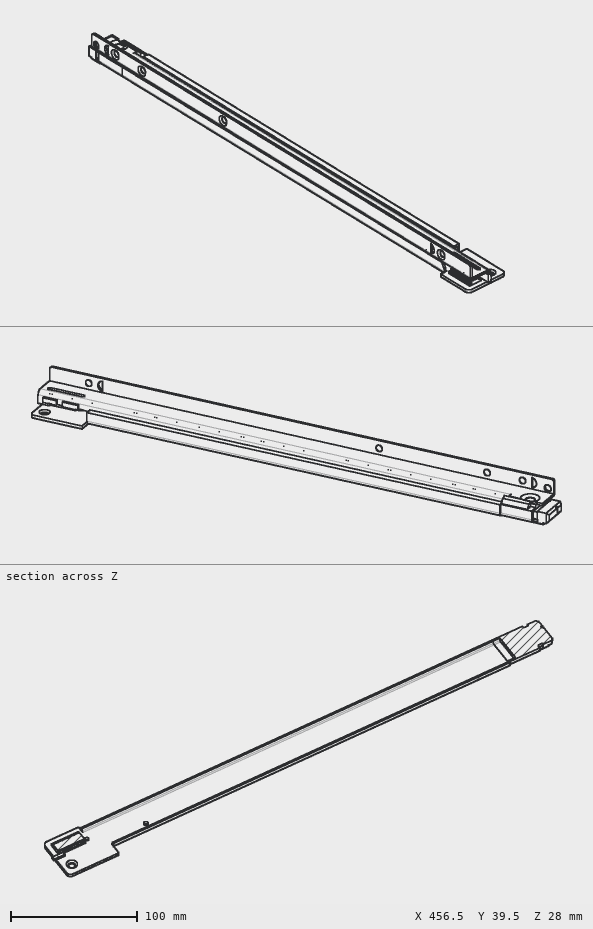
import cadquery as cq

TOTAL_LENGTH = 456.5
TOTAL_HEIGHT = 28.0
TOTAL_WIDTH = 39.5

RAIL_FRONT = 41.5
RAIL_REAR = 407.8
RAIL_NEAR_Y = 3.5
RAIL_FAR_Y = 31.5
RAIL_HEIGHT = 11.0
RAIL_SHEET = 2.0
RAIL_FLOOR = 2.7
RAIL_LIP = 5.5
RAIL_BEND = 3.5
SIGHT_HOLE_X = 373.5
SIGHT_HOLE_Y = 24.0
SIGHT_HOLE_DIAMETER = 3.5

NEAR_WALL_REAR = 421.0
NEAR_WALL_SLOPE = 2.7

FOOT_REAR = 454.0
FOOT_CORNER = 3.5
FOOT_HOLE_X = 445.5
FOOT_HOLE_Y = 30.5
FOOT_SLIT_X = 422.0

RIB_FRONT = 424.5
RIB_REAR = 449.5
RIB_NEAR_Y = 5.5
RIB_FAR_Y = 17.5
RIB_STEP = 2.0

PROFILE_YAW = 0.15
WALL_FRONT = 8.0
WALL_REAR = 456.0
WALL_SHEET = 2.0
WALL_CORNER = 2.5
FLANGE_TOP = 15.5
WALL_BEND = 2.7
FLANGE_FAR_Y = 21.5
LIP_FRONT = 38.0
LIP_BOTTOM = 7.0
LIP_BEND = 3.5
TONGUE_FRONT = 446.0
TONGUE_SHEET = 3.0
TONGUE_BOTTOM = 4.0
TONGUE_TOP = 11.5
NUB_SPANS = ((420.0, 434.0), (439.5, 451.0))
NUB_DEPTH = 2.0
NUB_HEIGHT = 4.0

SCREW_XS = (36.0, 67.5, 163.5, 421.5)
SCREW_Z = 21.0
SCREW_DIAMETER = 5.5
SCREW_HEAD = 8.5
SCREW_HEAD_DEPTH = 1.5
LOCATING_X = 13.5
LOCATING_Z = 19.0
LOCATING_DIAMETER = 6.0
HALF_ROUND_FRONT_X = 28.0
HALF_ROUND_REAR_X = 409.0
HALF_ROUND_WIDTH = 4.0
HALF_ROUND_HEIGHT = 8.5

RIVET_X = 21.5
RIVET_Y = 17.0
RIVET_HEAD = 15.0
RIVET_DIAMETER = 7.8
RIVET_HEAD_DEPTH = 1.5
SLOT_FRONT = 418.7
SLOT_REAR = 451.0
SLOT_Y = 14.0
SLOT_WIDTH = 3.0

BUMPER_LENGTH = 9.5
BUMPER_NEAR_Y = 4.0
BUMPER_FAR_Y = 28.8
BUMPER_BOTTOM = 2.0
TOE_CHAMFER = 1.0
BUMPER_NOTCH_Y = 12.0
BUMPER_NOTCH = 1.5
NECK_INSET = 1.5
BUMPER_CHAMFER = 2.0
TOE_FRONT = 4.5
SLEEVE_FRONT = 13.5
SLEEVE_FAR_Y = 30.5
CORE_REAR = 35.5
PAD_NEAR_Y = 9.5
RAMP_FRONT = 18.3
RAMP_NEAR_Y = 23.5
RAMP_CREST_Y = 26.0
RAMP_CREST_Z = 14.0
RAMP_FAR_Y = 29.0


def box_between(x0, x1, y0, y1, z0, z1):
    return cq.Workplane("XY").box(x1 - x0, y1 - y0, z1 - z0, centered=False).translate((x0, y0, z0))


def extrude_along_x(sketch, x0, x1):
    """Extrude a YZ outline from x0 to x1."""
    return sketch.extrude(x1 - x0).translate((x0, 0, 0))


def channel(x0, x1, far_y):
    """C-shaped channel with rounded lower edges and inward lips."""
    outer = box_between(x0, x1, RAIL_NEAR_Y, far_y, 0, RAIL_HEIGHT).edges("|X and <Z").fillet(RAIL_BEND)
    inner_top = RAIL_HEIGHT - RAIL_SHEET
    inside = box_between(x0, x1, RAIL_NEAR_Y + RAIL_SHEET, far_y - RAIL_SHEET, RAIL_FLOOR, inner_top)
    inside = inside.edges("|X and <Z").fillet(RAIL_BEND - RAIL_FLOOR)
    opening = box_between(x0, x1, RAIL_NEAR_Y + RAIL_LIP, far_y - RAIL_LIP, inner_top, RAIL_HEIGHT)
    return outer.cut(inside).cut(opening)


def countersunk_drill(diameter, head, head_depth, depth):
    """Drill shape that enters at the origin and goes down along -Z."""
    radius = diameter / 2
    outline = [(0, 0), (head / 2, 0), (radius, -head_depth), (radius, -depth), (0, -depth)]
    return cq.Workplane("XZ").polyline(outline).close().revolve(360, (0, 0), (0, 1))


def make_foot_plate():
    """Plate wider than the rail on both sides; its near part starts further back."""
    foot = box_between(RAIL_REAR, FOOT_REAR, 0, TOTAL_WIDTH, 0, RAIL_FLOOR)
    near_step = box_between(RAIL_REAR, NEAR_WALL_REAR, 0, RAIL_NEAR_Y + RAIL_BEND, 0, RAIL_FLOOR)
    foot = foot.cut(near_step)
    foot = foot.edges("|Z and >X").fillet(FOOT_CORNER)
    hole = countersunk_drill(SCREW_DIAMETER, SCREW_HEAD, SCREW_HEAD_DEPTH, RAIL_FLOOR)
    foot = foot.cut(hole.translate((FOOT_HOLE_X, FOOT_HOLE_Y, RAIL_FLOOR)))
    slit = cq.Workplane("XY").center(FOOT_SLIT_X, SLOT_Y).circle(SLOT_WIDTH / 2).extrude(RAIL_FLOOR)
    return foot.cut(slit)


def make_rib():
    """Two stacked steps, the upper one set back on both sides."""
    step_z = RAIL_FLOOR + RIB_STEP
    lower = box_between(RIB_FRONT, RIB_REAR, RIB_NEAR_Y, RIB_FAR_Y, RAIL_FLOOR, step_z)
    upper = box_between(
        RIB_FRONT, RIB_REAR, RIB_NEAR_Y + RIB_STEP, RIB_FAR_Y - RIB_STEP, step_z, step_z + RIB_STEP
    )
    return lower.union(upper)


def make_near_wall_end():
    """Near side of the channel running on past the far side, its rear end sloping at the top."""
    channel_end = channel(RAIL_REAR, NEAR_WALL_REAR, RAIL_FAR_Y)
    near_lip_y = RAIL_NEAR_Y + RAIL_LIP
    near_side = box_between(RAIL_REAR, NEAR_WALL_REAR, RAIL_NEAR_Y, near_lip_y, 0, RAIL_HEIGHT)
    slope = (
        cq.Workplane("XZ")
        .moveTo(NEAR_WALL_REAR, RAIL_HEIGHT / 2)
        .lineTo(NEAR_WALL_REAR - NEAR_WALL_SLOPE, RAIL_HEIGHT)
        .lineTo(NEAR_WALL_REAR, RAIL_HEIGHT)
        .close()
        .extrude(-near_lip_y)
    )
    return channel_end.intersect(near_side).cut(slope)


def make_rail():
    rail = channel(RAIL_FRONT, RAIL_REAR, RAIL_FAR_Y)
    rail = rail.union(make_foot_plate()).union(make_near_wall_end()).union(make_rib())
    sight_hole = cq.Workplane("XY").center(SIGHT_HOLE_X, SIGHT_HOLE_Y).circle(SIGHT_HOLE_DIAMETER / 2)
    return rail.cut(sight_hole.extrude(RAIL_FLOOR))


def half_round_hole(flat_x, direction):
    """Opening with a flat side at flat_x and a bulge towards `direction` along X."""
    half_height = HALF_ROUND_HEIGHT / 2
    outline = (
        cq.Workplane("XZ")
        .moveTo(flat_x, SCREW_Z - half_height)
        .threePointArc(
            (flat_x + direction * HALF_ROUND_WIDTH, SCREW_Z), (flat_x, SCREW_Z + half_height)
        )
        .close()
    )
    return outline.extrude(-WALL_SHEET)


def cut_wall_holes(profile):
    screw = countersunk_drill(SCREW_DIAMETER, SCREW_HEAD, SCREW_HEAD_DEPTH, WALL_SHEET)
    screw = screw.rotate((0, 0, 0), (1, 0, 0), 90)
    for x in SCREW_XS:
        profile = profile.cut(screw.translate((x, 0, SCREW_Z)))
    locating = cq.Workplane("XZ").center(LOCATING_X, LOCATING_Z).circle(LOCATING_DIAMETER / 2)
    profile = profile.cut(locating.extrude(-WALL_SHEET))
    profile = profile.cut(half_round_hole(HALF_ROUND_FRONT_X, -1))
    return profile.cut(half_round_hole(HALF_ROUND_REAR_X, 1))


def cut_flange_openings(profile):
    rivet = countersunk_drill(RIVET_DIAMETER, RIVET_HEAD, RIVET_HEAD_DEPTH, WALL_SHEET)
    profile = profile.cut(rivet.translate((RIVET_X, RIVET_Y, FLANGE_TOP)))
    slot = (
        cq.Workplane("XY", origin=(0, 0, FLANGE_TOP - WALL_SHEET))
        .center((SLOT_FRONT + SLOT_REAR) / 2, SLOT_Y)
        .slot2D(SLOT_REAR - SLOT_FRONT, SLOT_WIDTH)
        .extrude(WALL_SHEET)
    )
    return profile.cut(slot)


def make_screw_wall():
    """Vertical wall with a rounded bend into the horizontal flange."""
    flange_bottom = FLANGE_TOP - WALL_SHEET
    angle = (
        cq.Workplane("YZ")
        .moveTo(0, TOTAL_HEIGHT)
        .lineTo(0, flange_bottom + WALL_BEND)
        .radiusArc((WALL_BEND, flange_bottom), -WALL_BEND)
        .lineTo(FLANGE_FAR_Y, flange_bottom)
        .lineTo(FLANGE_FAR_Y, FLANGE_TOP)
        .lineTo(WALL_SHEET, FLANGE_TOP)
        .lineTo(WALL_SHEET, TOTAL_HEIGHT)
        .close()
    )
    return extrude_along_x(angle, WALL_FRONT, WALL_REAR).edges("|Y and >Z").fillet(WALL_CORNER)


def make_profile():
    lip_near_y = FLANGE_FAR_Y - WALL_SHEET
    lip = box_between(LIP_FRONT, WALL_REAR, lip_near_y, FLANGE_FAR_Y, LIP_BOTTOM, FLANGE_TOP)
    profile = make_screw_wall().union(lip)
    bend_start_y = FLANGE_FAR_Y - LIP_BEND
    bend_bottom = FLANGE_TOP - LIP_BEND
    bend_corner = (
        cq.Workplane("YZ")
        .moveTo(bend_start_y, FLANGE_TOP)
        .radiusArc((FLANGE_FAR_Y, bend_bottom), LIP_BEND)
        .lineTo(FLANGE_FAR_Y, FLANGE_TOP)
        .close()
    )
    profile = profile.cut(extrude_along_x(bend_corner, LIP_FRONT, WALL_REAR))
    tongue = box_between(
        TONGUE_FRONT, TOTAL_LENGTH, FLANGE_FAR_Y - TONGUE_SHEET, FLANGE_FAR_Y, TONGUE_BOTTOM, TONGUE_TOP
    )
    profile = profile.union(tongue)
    nub_top = LIP_BOTTOM + NUB_HEIGHT
    for x0, x1 in NUB_SPANS:
        nub = box_between(x0, x1, FLANGE_FAR_Y, FLANGE_FAR_Y + NUB_DEPTH, LIP_BOTTOM, nub_top)
        profile = profile.union(nub)
    profile = cut_flange_openings(cut_wall_holes(profile))
    pivot = (TOTAL_LENGTH, FLANGE_FAR_Y)
    return profile.rotate((*pivot, 0), (*pivot, 1), -PROFILE_YAW)


def make_bumper():
    bumper = box_between(0, BUMPER_LENGTH, BUMPER_NEAR_Y, BUMPER_FAR_Y, BUMPER_BOTTOM, RAIL_HEIGHT)
    bumper = bumper.faces("<X").chamfer(BUMPER_CHAMFER)
    notch_far_y = BUMPER_NOTCH_Y + BUMPER_NOTCH
    notch = box_between(0, BUMPER_NOTCH, BUMPER_NOTCH_Y, notch_far_y, BUMPER_BOTTOM, RAIL_HEIGHT)
    neck = box_between(
        BUMPER_LENGTH,
        SLEEVE_FRONT,
        BUMPER_NEAR_Y + NECK_INSET,
        BUMPER_FAR_Y - NECK_INSET,
        BUMPER_BOTTOM + NECK_INSET,
        RAIL_HEIGHT - NECK_INSET,
    )
    toe = box_between(TOE_FRONT, SLEEVE_FRONT, BUMPER_NEAR_Y, BUMPER_FAR_Y, 0, BUMPER_BOTTOM)
    toe = toe.edges("|X and <Z").chamfer(TOE_CHAMFER)
    return bumper.cut(notch).union(neck).union(toe)


def make_flange_pad():
    """Pad that carries the front of the flange."""
    flange_bottom = FLANGE_TOP - WALL_SHEET
    return box_between(SLEEVE_FRONT, CORE_REAR, PAD_NEAR_Y, RAMP_NEAR_Y, RAIL_HEIGHT, flange_bottom)


def make_ramp():
    """Ridge beside the flange that falls towards the far side."""
    outline = (
        cq.Workplane("YZ")
        .moveTo(RAMP_NEAR_Y, RAIL_HEIGHT - RAIL_SHEET)
        .lineTo(RAMP_NEAR_Y, FLANGE_TOP)
        .lineTo(RAMP_CREST_Y, RAMP_CREST_Z)
        .lineTo(RAMP_FAR_Y, RAIL_HEIGHT)
        .lineTo(RAMP_FAR_Y, RAIL_HEIGHT - RAIL_SHEET)
        .close()
    )
    return extrude_along_x(outline, RAMP_FRONT, RAIL_FRONT)


def make_front_cap():
    core = box_between(
        SLEEVE_FRONT,
        CORE_REAR,
        RAIL_NEAR_Y + RAIL_SHEET,
        SLEEVE_FAR_Y - RAIL_SHEET,
        RAIL_FLOOR,
        RAIL_HEIGHT,
    )
    cap = channel(SLEEVE_FRONT, RAIL_FRONT, SLEEVE_FAR_Y).union(core)
    return cap.union(make_flange_pad()).union(make_ramp()).union(make_bumper())


rail = make_rail()
profile = make_profile()
front_cap = make_front_cap()

result = cq.Compound.makeCompound([rail.solids().val(), profile.solids().val(), front_cap.solids().val()])